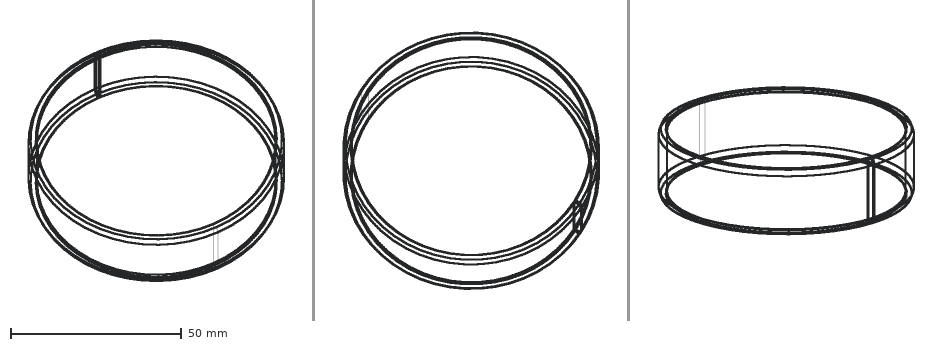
import cadquery as cq
import math

outer_diameter = 75.0
inner_diameter = 70.0
height = 20.0
outer_chamfer_height = 1.8
outer_chamfer_angle = 20.0
inner_chamfer_height = 0.6
inner_chamfer_depth = 0.4
slit_width = 0.5

outer_radius = outer_diameter / 2
inner_radius = inner_diameter / 2
half_height = height / 2
outer_chamfer_depth = outer_chamfer_height * math.tan(math.radians(outer_chamfer_angle))


def ring():
    """Revolve the wall section, with lead-in chamfers at both ends, about Z."""
    end_outer_radius = outer_radius - outer_chamfer_depth
    end_inner_radius = inner_radius + inner_chamfer_depth
    outer_edge = half_height - outer_chamfer_height
    inner_edge = half_height - inner_chamfer_height
    section = [
        (inner_radius, -inner_edge),
        (end_inner_radius, -half_height),
        (end_outer_radius, -half_height),
        (outer_radius, -outer_edge),
        (outer_radius, outer_edge),
        (end_outer_radius, half_height),
        (end_inner_radius, half_height),
        (inner_radius, inner_edge),
    ]
    return cq.Workplane("XZ").polyline(section).close().revolve(360, (0, 0), (0, 1))


def slit():
    """Cutter through the wall at -X, over the full height, with one face on the plane Y = 0."""
    cutter = cq.Workplane("XY").box(outer_radius, slit_width, height)
    return cutter.translate((-outer_radius, slit_width / 2, 0))


result = ring().cut(slit())